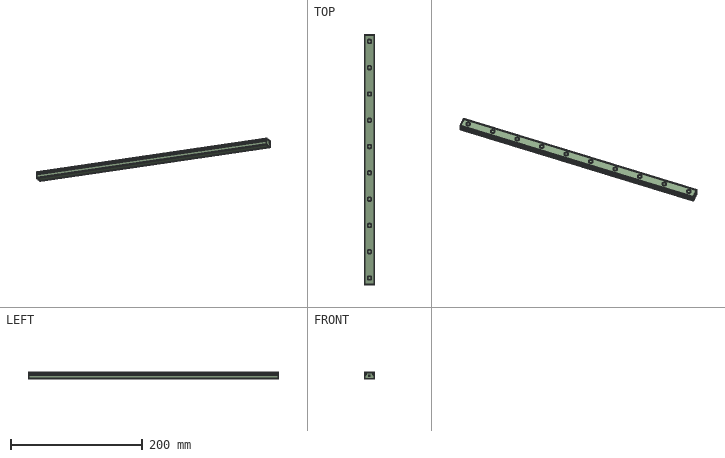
import cadquery as cq

RAIL_WIDTH = 15.0
RAIL_LENGTH = 380.0
RAIL_HEIGHT = 10.0
TOP_CHAMFER = 0.5
BOTTOM_CHAMFER = 0.8

GROOVE_CENTRE_Z = 7.0
GROOVE_MOUTH_HEIGHT = 2.4
GROOVE_THROAT_HEIGHT = 1.4
GROOVE_THROAT_DEPTH = 0.7
GROOVE_DEPTH = 1.9

RECESS_PITCH = 40.0
RECESS_COUNT = 10
RECESS_DIAMETER = 6.0
RECESS_DEPTH = 0.1

END_HOLE_DIAMETER = 2.0
END_HOLE_DEPTH = 1.0
END_HOLE_X = -0.25
END_HOLE_Z = RAIL_HEIGHT / 2


def rail_half():
    """Extrude the +X half of the grooved cross-section, centred on the origin in Y."""
    side_x = RAIL_WIDTH / 2
    throat_x = side_x - GROOVE_THROAT_DEPTH
    floor_x = side_x - GROOVE_DEPTH
    mouth_half = GROOVE_MOUTH_HEIGHT / 2
    throat_half = GROOVE_THROAT_HEIGHT / 2
    return (
        cq.Workplane("XZ")
        .lineTo(side_x - BOTTOM_CHAMFER, 0)
        .lineTo(side_x, BOTTOM_CHAMFER)
        .lineTo(side_x, GROOVE_CENTRE_Z - mouth_half)
        .lineTo(throat_x, GROOVE_CENTRE_Z - throat_half)
        .threePointArc((floor_x, GROOVE_CENTRE_Z), (throat_x, GROOVE_CENTRE_Z + throat_half))
        .lineTo(side_x, GROOVE_CENTRE_Z + mouth_half)
        .lineTo(side_x, RAIL_HEIGHT - TOP_CHAMFER)
        .lineTo(side_x - TOP_CHAMFER, RAIL_HEIGHT)
        .lineTo(0, RAIL_HEIGHT)
        .close()
        .extrude(RAIL_LENGTH / 2, both=True)
    )


def rail_body():
    """Join the half rail to its mirror image across the YZ plane."""
    half = rail_half()
    return half.union(half.mirror("YZ")).clean()


def mounting_recesses():
    """Row of shallow round recesses, centred along the rail."""
    return (
        cq.Workplane("XY", origin=(0, 0, RAIL_HEIGHT - RECESS_DEPTH))
        .rarray(RECESS_PITCH, RECESS_PITCH, 1, RECESS_COUNT)
        .circle(RECESS_DIAMETER / 2)
        .extrude(RECESS_DEPTH)
    )


def end_hole():
    """Blind hole running inward (+Y) from the front end face."""
    return (
        cq.Workplane("XZ", origin=(END_HOLE_X, -RAIL_LENGTH / 2, END_HOLE_Z))
        .circle(END_HOLE_DIAMETER / 2)
        .extrude(-END_HOLE_DEPTH)
    )


result = rail_body().cut(mounting_recesses()).cut(end_hole())